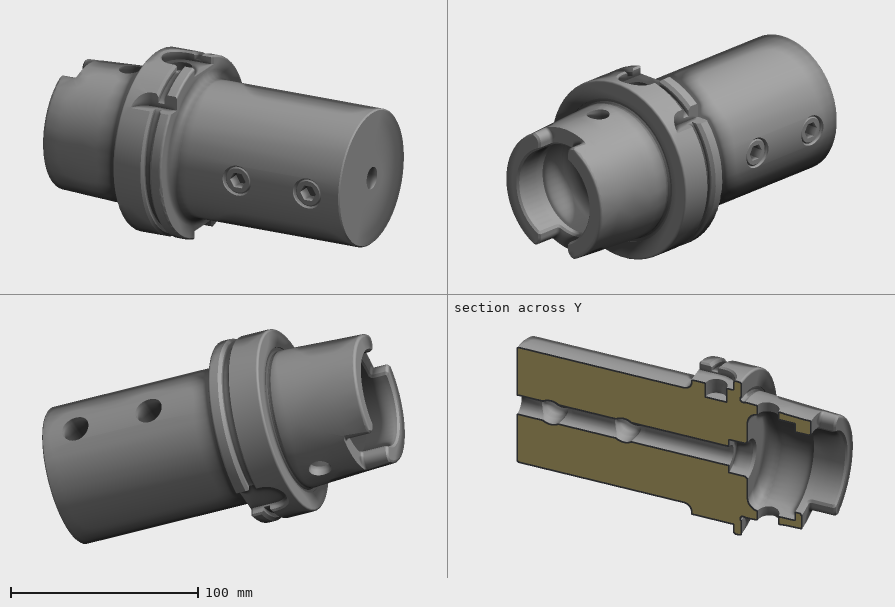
import cadquery as cq
import math


TOTAL_LENGTH = 180.0
TAPER_END = 47.7
FLANGE_START = 50.0
FLANGE_END = 79.0

TAPER_SLOPE = 1 / 20
TAPER_END_RADIUS = 37.8
TIP_FILLET = 1.6
NECK_RADIUS = 37.5
NECK_START = 48.8
NECK_FLARE_START = 49.7
NECK_FLARE_RADIUS = 38.3
FACE_RECESS_RADIUS = 40.0
FACE_RECESS_DEPTH = 0.5

FLANGE_RADIUS = 50.0
FLANGE_FILLET = 1.3
GROOVE_START = 67.9
GROOVE_END = 71.6
GROOVE_RADIUS = 46.0
GROOVE_LIP_DEPTH = 1.6
GROOVE_FRONT_LIP = 1.0
GROOVE_BACK_LIP = 1.6

BODY_RADIUS = 37.6
BODY_FILLET = 4.5
BODY_CHAMFER = 0.7

BORE_RADIUS = 26.1
BORE_MOUTH_CHAMFER = 1.0
CHAMBER_START = 19.0
CHAMBER_END = 46.5
CHAMBER_RADIUS = 31.5
CHAMBER_FILLET = 6.8
TUBE_SEAT_RADIUS = 10.6
TUBE_SEAT_DEPTH = 10.8
TUBE_SEAT_CHAMFER = 1.5
COOLANT_RADIUS = 6.1

DRIVE_HALF_WIDTH = 10.0
DRIVE_SHOULDER_HEIGHT = 32.2
DRIVE_SHOULDER_FILLET = 4.7
DRIVE_FLOOR_FILLET = 1.5
DRIVE_EDGE_CHAMFER = 1.0
UPPER_DRIVE_DEPTH = 9.7
LOWER_DRIVE_DEPTH = 15.1

CROSS_HOLE_X = 34.7
CROSS_HOLE_RADIUS = 6.1

GRIPPER_X = 64.8
GRIPPER_RADIUS = 10.0
GRIPPER_FLOOR = 44.0
GRIPPER_CHAMFER = 1.0
CHIP_HOLE_RADIUS = 6.1
CHIP_HOLE_DEPTH = 9.0

NOTCH_OFFSET = 31.3
NOTCH_X = 64.0
NOTCH_RADIUS = 9.0

SCREW_PLACES = (118.3, 160.5)
SCREW_RADIUS = 7.5
SCREW_FACE = 36.4
SCREW_LENGTH = 19.8
SCREW_CHAMFER = 0.7
SCREW_HOLE_RIM = 8.5
HEX_ACROSS_FLATS = 8.1
HEX_DEPTH = 7.2

ARC_INSET = 1 - math.sqrt(0.5)

EDGE_TOLERANCE = 0.02


def turn(outline):
    """Closes an outline and turns it a full circle about the X axis."""
    return outline.close().revolve(360, (0, 0, 0), (1, 0, 0))


def half_turned(shape):
    return shape.rotate((0, 0, 0), (1, 0, 0), 180)


def radius_at(edge, share):
    """Distance from the X axis to the point a given share of the way along an edge."""
    point = edge.positionAt(share)
    return math.hypot(point.y, point.z)


def blank():
    """Turned outside of the holder, before any groove, slot or bore."""
    tip_radius = TAPER_END_RADIUS - (TAPER_END - TIP_FILLET) * TAPER_SLOPE
    tip_inset = TIP_FILLET * ARC_INSET
    flange_inset = FLANGE_FILLET * ARC_INSET
    body_inset = BODY_FILLET * ARC_INSET
    recess_floor = FLANGE_START + FACE_RECESS_DEPTH
    outline = (
        cq.Workplane("XY")
        .lineTo(0, tip_radius - TIP_FILLET)
        .threePointArc((tip_inset, tip_radius - tip_inset), (TIP_FILLET, tip_radius))
        .lineTo(TAPER_END, TAPER_END_RADIUS)
        .lineTo(NECK_START, NECK_RADIUS)
        .lineTo(NECK_FLARE_START, NECK_RADIUS)
        .lineTo(recess_floor, NECK_FLARE_RADIUS)
        .lineTo(recess_floor, FACE_RECESS_RADIUS)
        .lineTo(FLANGE_START, FACE_RECESS_RADIUS)
        .lineTo(FLANGE_START, FLANGE_RADIUS - FLANGE_FILLET)
        .threePointArc(
            (FLANGE_START + flange_inset, FLANGE_RADIUS - flange_inset),
            (FLANGE_START + FLANGE_FILLET, FLANGE_RADIUS),
        )
        .lineTo(FLANGE_END - FLANGE_FILLET, FLANGE_RADIUS)
        .threePointArc(
            (FLANGE_END - flange_inset, FLANGE_RADIUS - flange_inset),
            (FLANGE_END, FLANGE_RADIUS - FLANGE_FILLET),
        )
        .lineTo(FLANGE_END, BODY_RADIUS + BODY_FILLET)
        .threePointArc(
            (FLANGE_END + body_inset, BODY_RADIUS + body_inset),
            (FLANGE_END + BODY_FILLET, BODY_RADIUS),
        )
        .lineTo(TOTAL_LENGTH - BODY_CHAMFER, BODY_RADIUS)
        .lineTo(TOTAL_LENGTH, BODY_RADIUS - BODY_CHAMFER)
        .lineTo(TOTAL_LENGTH, 0)
    )
    return turn(outline)


def drive_profile():
    """Cross-section of a drive slot that points to +Z and widens over rounded shoulders."""
    reach = FLANGE_RADIUS
    arc_inset = DRIVE_SHOULDER_FILLET * ARC_INSET
    shoulder_y = DRIVE_HALF_WIDTH + DRIVE_SHOULDER_FILLET
    wall_top = DRIVE_SHOULDER_HEIGHT - DRIVE_SHOULDER_FILLET
    mid_y = DRIVE_HALF_WIDTH + arc_inset
    mid_z = DRIVE_SHOULDER_HEIGHT - arc_inset
    return (
        cq.Workplane("YZ")
        .moveTo(-DRIVE_HALF_WIDTH, 0)
        .lineTo(DRIVE_HALF_WIDTH, 0)
        .lineTo(DRIVE_HALF_WIDTH, wall_top)
        .threePointArc((mid_y, mid_z), (shoulder_y, DRIVE_SHOULDER_HEIGHT))
        .lineTo(reach, DRIVE_SHOULDER_HEIGHT)
        .lineTo(reach, reach)
        .lineTo(-reach, reach)
        .lineTo(-reach, DRIVE_SHOULDER_HEIGHT)
        .lineTo(-shoulder_y, DRIVE_SHOULDER_HEIGHT)
        .threePointArc((-mid_y, mid_z), (-DRIVE_HALF_WIDTH, wall_top))
        .close()
    )


def drive_slot(depth):
    """Drive slot with a filleted floor and a chamfer where it opens on the end of the taper."""
    slot = drive_profile().extrude(depth).faces(">X").edges().fillet(DRIVE_FLOOR_FILLET)
    opening = drive_profile().offset2D(DRIVE_EDGE_CHAMFER).extrude(DRIVE_EDGE_CHAMFER, taper=45)
    return slot.union(opening)


def gripper_slot():
    """Flat-bottomed slot in the flange, pointing to +Z, round at one end and open at the other."""
    height = FLANGE_RADIUS - GRIPPER_FLOOR
    length = FLANGE_END + BODY_FILLET - GRIPPER_X
    floor = cq.Workplane("XY", (GRIPPER_X, 0, GRIPPER_FLOOR))
    round_end = floor.circle(GRIPPER_RADIUS).extrude(height)
    straight = floor.center(length / 2, 0).rect(length, 2 * GRIPPER_RADIUS).extrude(height)
    return round_end.union(straight)


def chip_hole():
    floor = cq.Workplane("XY", (GRIPPER_X, 0, GRIPPER_FLOOR))
    return floor.circle(CHIP_HOLE_RADIUS).extrude(-CHIP_HOLE_DEPTH)


def flange_groove():
    lip_radius = FLANGE_RADIUS - GROOVE_LIP_DEPTH
    outline = (
        cq.Workplane("XY")
        .moveTo(GROOVE_START - GROOVE_FRONT_LIP, FLANGE_RADIUS)
        .lineTo(GROOVE_START, lip_radius)
        .lineTo(GROOVE_START, GROOVE_RADIUS)
        .lineTo(GROOVE_END, GROOVE_RADIUS)
        .lineTo(GROOVE_END, lip_radius)
        .lineTo(GROOVE_END + GROOVE_BACK_LIP, FLANGE_RADIUS)
    )
    return turn(outline)


def corner_notch():
    """Pocket in the -Y, +Z corner of the flange, with one wall and a floor, round at its end."""
    size = FLANGE_RADIUS - NOTCH_OFFSET
    straight = (
        cq.Workplane("XY", (NOTCH_X, -FLANGE_RADIUS, NOTCH_OFFSET))
        .rect(FLANGE_END - NOTCH_X, size, centered=False)
        .extrude(size)
    )
    round_end = (
        cq.Workplane("XY", (NOTCH_X, -NOTCH_OFFSET - NOTCH_RADIUS, NOTCH_OFFSET))
        .circle(NOTCH_RADIUS)
        .extrude(size)
    )
    return straight.union(round_end)


def bore():
    fillet_inset = CHAMBER_FILLET * ARC_INSET
    tube_seat_end = CHAMBER_END + TUBE_SEAT_DEPTH
    outline = (
        cq.Workplane("XY")
        .lineTo(0, BORE_RADIUS)
        .lineTo(CHAMBER_START, BORE_RADIUS)
        .lineTo(CHAMBER_START, CHAMBER_RADIUS)
        .lineTo(CHAMBER_END - CHAMBER_FILLET, CHAMBER_RADIUS)
        .threePointArc(
            (CHAMBER_END - fillet_inset, CHAMBER_RADIUS - fillet_inset),
            (CHAMBER_END, CHAMBER_RADIUS - CHAMBER_FILLET),
        )
        .lineTo(CHAMBER_END, TUBE_SEAT_RADIUS + TUBE_SEAT_CHAMFER)
        .lineTo(CHAMBER_END + TUBE_SEAT_CHAMFER, TUBE_SEAT_RADIUS)
        .lineTo(tube_seat_end, TUBE_SEAT_RADIUS)
        .lineTo(tube_seat_end, COOLANT_RADIUS)
        .lineTo(TOTAL_LENGTH, COOLANT_RADIUS)
        .lineTo(TOTAL_LENGTH, 0)
    )
    return turn(outline)


def cross_hole():
    start = cq.Workplane("XY", (CROSS_HOLE_X, 0, -FLANGE_RADIUS))
    return start.circle(CROSS_HOLE_RADIUS).extrude(2 * FLANGE_RADIUS)


def screw_hole(x):
    """Hole across the body along Y, chamfered where the screw goes in on the -Y side."""
    rim_y = -math.sqrt(BODY_RADIUS**2 - SCREW_HOLE_RIM**2)
    chamfer = SCREW_HOLE_RIM - SCREW_RADIUS
    outline = (
        cq.Workplane("XY")
        .moveTo(x, BODY_RADIUS)
        .lineTo(x + SCREW_RADIUS, BODY_RADIUS)
        .lineTo(x + SCREW_RADIUS, rim_y + chamfer)
        .lineTo(x + SCREW_HOLE_RIM, rim_y)
        .lineTo(x + SCREW_HOLE_RIM, -BODY_RADIUS)
        .lineTo(x, -BODY_RADIUS)
        .close()
    )
    return outline.revolve(360, (x, 0, 0), (x, 1, 0))


def chamfer_gripper_rims(flange):
    """Chamfers the edges where the gripper slots meet the round of the flange."""
    def is_rim(edge):
        center = edge.Center()
        on_round = abs(radius_at(edge, 0.5) - FLANGE_RADIUS) < EDGE_TOLERANCE
        between_flange_edges = FLANGE_START + 2 * FLANGE_FILLET < center.x < FLANGE_END - 2 * FLANGE_FILLET
        return on_round and between_flange_edges and abs(center.y) < GRIPPER_RADIUS + EDGE_TOLERANCE

    rims = [edge for edge in flange.edges().vals() if is_rim(edge)]
    return flange.newObject(rims).chamfer(GRIPPER_CHAMFER)


def chamfer_bore_mouth(holder):
    """Chamfers the bore all the way round its mouth, in and out of the drive slots."""
    def is_mouth(edge):
        on_bore = all(abs(radius_at(edge, share) - BORE_RADIUS) < EDGE_TOLERANCE for share in (0, 0.5))
        return on_bore and edge.Center().x <= LOWER_DRIVE_DEPTH + EDGE_TOLERANCE

    mouth = [edge for edge in holder.edges().vals() if is_mouth(edge)]
    return holder.newObject(mouth).chamfer(BORE_MOUTH_CHAMFER)


def make_holder():
    holder = blank()
    holder = holder.cut(gripper_slot()).cut(half_turned(gripper_slot()))
    holder = chamfer_gripper_rims(holder)
    holder = holder.cut(chip_hole()).cut(flange_groove()).cut(corner_notch())
    holder = holder.cut(drive_slot(UPPER_DRIVE_DEPTH))
    holder = holder.cut(half_turned(drive_slot(LOWER_DRIVE_DEPTH)))
    holder = chamfer_bore_mouth(holder.cut(bore()))
    holder = holder.cut(cross_hole())
    for x in SCREW_PLACES:
        holder = holder.cut(screw_hole(x))
    return holder


def make_screw(x):
    face = cq.Workplane("XZ", (x, -SCREW_FACE, 0))
    screw = face.circle(SCREW_RADIUS).extrude(-SCREW_LENGTH).faces("<Y").chamfer(SCREW_CHAMFER)
    socket = face.polygon(6, HEX_ACROSS_FLATS / math.cos(math.pi / 6)).extrude(-HEX_DEPTH)
    return screw.cut(socket)


holder = make_holder()
screws = [make_screw(x) for x in SCREW_PLACES]
result = cq.Compound.makeCompound([holder.val(), *[screw.val() for screw in screws]])